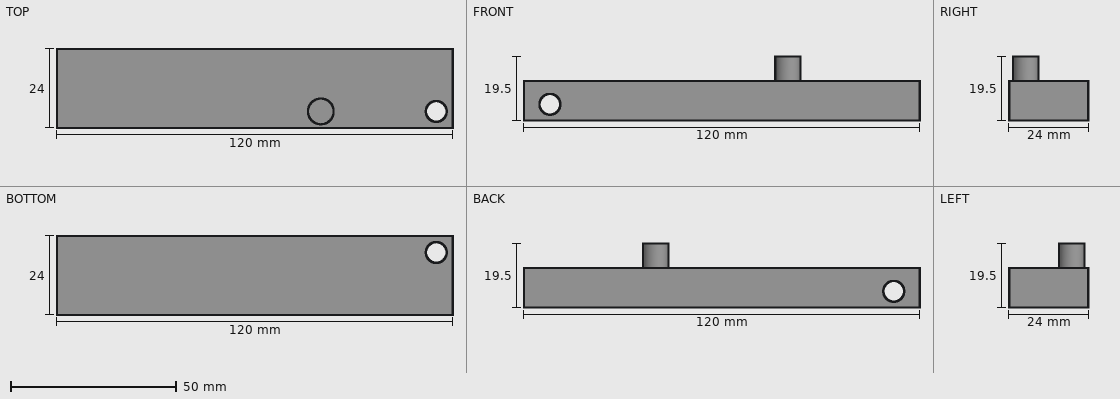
import cadquery as cq

length = 120.0
width = 24.0
thickness = 12.0

pin_diameter = 7.8
pin_height = 7.5
pin_x = length * 2 / 3

hole_diameter = 6.2
edge_offset = 5.0
cross_hole_x = 7.9
cross_hole_z = 4.9


def cylinder(diameter, height, base, direction):
    return cq.Solid.makeCylinder(diameter / 2, height, cq.Vector(*base), cq.Vector(*direction))


bar = cq.Workplane("XY").box(length, width, thickness, centered=False)
pin = cylinder(pin_diameter, pin_height, (pin_x, edge_offset, thickness), (0, 0, 1))
vertical_hole = cylinder(hole_diameter, thickness, (length - edge_offset, edge_offset, 0), (0, 0, 1))
cross_hole = cylinder(hole_diameter, width, (cross_hole_x, 0, cross_hole_z), (0, 1, 0))

result = bar.union(cq.Workplane(pin)).cut(cq.Workplane(vertical_hole)).cut(cq.Workplane(cross_hole))